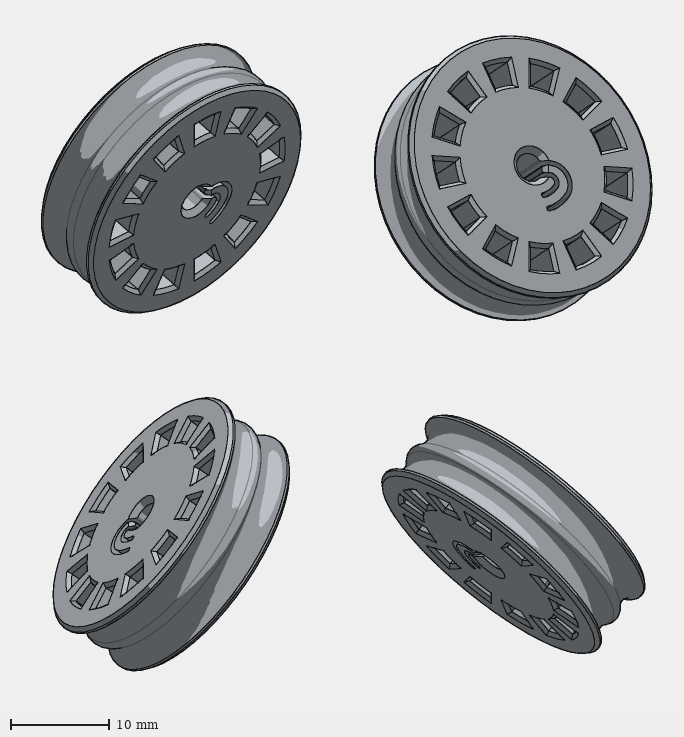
import cadquery as cq
import math

OUTER_RADIUS = 14.05
WIDTH = 8.3
HALF_WIDTH = WIDTH / 2

GROOVE_RADIUS = 1.8
GROOVE_OFFSET = 1.8
GROOVE_FLOOR_RADIUS = 12.87
CREST_RADIUS = 0.81

WINDOW_COUNT = 13
WINDOW_INNER_RADIUS = 8.77
WINDOW_OUTER_RADIUS = 11.25
WINDOW_HALF_ANGLE = math.pi / (2 * WINDOW_COUNT)

EDGE_CHAMFER = 0.4

BORE_RADIUS = 1.5
BORE_CHAMFER = 0.62

FINGER_WIDTH = 0.8
FINGER_TIP_REACH = 1.38
FINGER_TIP_LENGTH = 0.81
FINGER_TIP_CHAMFER = 0.5
CORNER_ROUNDING = 0.25
SLOT_WIDTH = 0.5
SLOT_OFFSET = (FINGER_WIDTH + SLOT_WIDTH) / 2
SLOT_START = 0.85
SLOT_END_ANGLE = math.radians(-66)
OUTER_SLOT_RADIUS = 4.75
OUTER_SLOT_BEND = 2.05
INNER_SLOT_RADIUS = 3.25
INNER_SLOT_BEND = 0.75


def polar(radius, angle, center=(0, 0)):
    return (center[0] + radius * math.cos(angle), center[1] + radius * math.sin(angle))


def extrude_through(wire):
    """Extrude a closed YZ outline symmetrically over the full width."""
    return wire.extrude(HALF_WIDTH, both=True)


def make_blank():
    """Revolve the tread profile about X."""
    groove_center_r = GROOVE_FLOOR_RADIUS + GROOVE_RADIUS
    rim_x = GROOVE_OFFSET + math.sqrt(GROOVE_RADIUS**2 - (groove_center_r - OUTER_RADIUS) ** 2)

    center_distance = GROOVE_RADIUS + CREST_RADIUS
    crest_center_r = groove_center_r - math.sqrt(center_distance**2 - GROOVE_OFFSET**2)
    crest_x = GROOVE_OFFSET * CREST_RADIUS / center_distance
    crest_r = crest_center_r + math.sqrt(CREST_RADIUS**2 - crest_x**2)

    profile = (
        cq.Workplane("XY")
        .moveTo(-HALF_WIDTH, 0)
        .lineTo(-HALF_WIDTH, OUTER_RADIUS)
        .lineTo(-rim_x, OUTER_RADIUS)
        .threePointArc((-GROOVE_OFFSET, GROOVE_FLOOR_RADIUS), (-crest_x, crest_r))
        .threePointArc((0, crest_center_r + CREST_RADIUS), (crest_x, crest_r))
        .threePointArc((GROOVE_OFFSET, GROOVE_FLOOR_RADIUS), (rim_x, OUTER_RADIUS))
        .lineTo(HALF_WIDTH, OUTER_RADIUS)
        .lineTo(HALF_WIDTH, 0)
        .close()
    )
    return profile.revolve(360, (0, 0, 0), (1, 0, 0))


def make_window(angle):
    """One ring-sector window centred on the given angle from +Y."""
    start = angle - WINDOW_HALF_ANGLE
    end = angle + WINDOW_HALF_ANGLE
    outline = (
        cq.Workplane("YZ")
        .moveTo(*polar(WINDOW_INNER_RADIUS, start))
        .lineTo(*polar(WINDOW_OUTER_RADIUS, start))
        .threePointArc(polar(WINDOW_OUTER_RADIUS, angle), polar(WINDOW_OUTER_RADIUS, end))
        .lineTo(*polar(WINDOW_INNER_RADIUS, end))
        .threePointArc(polar(WINDOW_INNER_RADIUS, angle), polar(WINDOW_INNER_RADIUS, start))
        .close()
    )
    return extrude_through(outline)


def make_bore():
    bore = cq.Workplane("YZ").circle(BORE_RADIUS)
    return extrude_through(bore)


def make_bore_mouths():
    """Conical chamfers at both ends of the bore."""
    mouth = cq.Workplane("YZ", origin=(HALF_WIDTH - BORE_CHAMFER, 0, 0)).circle(BORE_RADIUS)
    mouth = mouth.workplane(offset=BORE_CHAMFER).circle(BORE_RADIUS + BORE_CHAMFER).loft()
    return mouth.union(mouth.mirror("YZ"))


def make_slot(offset, bend_radius, arc_radius):
    """Slot running out along +Y at height offset, bending down into an arc about the wheel axis."""
    bend_center_z = offset - bend_radius
    bend_center_y = math.sqrt((arc_radius - bend_radius) ** 2 - bend_center_z**2)
    bend_center = (bend_center_y, bend_center_z)
    bend_end_angle = math.atan2(bend_center_z, bend_center_y)
    bend_middle_angle = (math.pi / 2 + bend_end_angle) / 2
    arc_middle_angle = (bend_end_angle + SLOT_END_ANGLE) / 2
    half = SLOT_WIDTH / 2

    def side(shift):
        """Bend middle, bend end, arc middle and arc end of one slot wall."""
        return (
            polar(bend_radius + shift, bend_middle_angle, bend_center),
            polar(arc_radius + shift, bend_end_angle),
            polar(arc_radius + shift, arc_middle_angle),
            polar(arc_radius + shift, SLOT_END_ANGLE),
        )

    far_bend, far_joint, far_arc, far_end = side(half)
    near_bend, near_joint, near_arc, near_end = side(-half)
    end_center = polar(arc_radius, SLOT_END_ANGLE)
    end_tip = polar(half, SLOT_END_ANGLE - math.pi / 2, end_center)

    outline = (
        cq.Workplane("YZ")
        .moveTo(SLOT_START, offset + half)
        .lineTo(bend_center_y, offset + half)
        .threePointArc(far_bend, far_joint)
        .threePointArc(far_arc, far_end)
        .threePointArc(end_tip, near_end)
        .threePointArc(near_arc, near_joint)
        .threePointArc(near_bend, (bend_center_y, offset - half))
        .lineTo(SLOT_START, offset - half)
        .close()
    )
    return extrude_through(outline)


def make_finger_tip():
    """End of the spring finger, past the bore mouth: chamfered toward both end faces, with rounded corners."""
    tip = cq.Workplane("XY").box(WIDTH, FINGER_TIP_LENGTH, FINGER_WIDTH)
    tip = tip.edges("|Z and <Y").chamfer(FINGER_TIP_CHAMFER)
    tip = tip.faces("<Y").edges("|X").fillet(CORNER_ROUNDING)
    return tip.translate((0, FINGER_TIP_REACH + FINGER_TIP_LENGTH / 2, 0))


def make_finger_opening():
    """Bore and both slots, leaving the finger tip standing."""
    opening = (
        make_bore()
        .union(make_slot(SLOT_OFFSET, OUTER_SLOT_BEND, OUTER_SLOT_RADIUS))
        .union(make_slot(-SLOT_OFFSET, INNER_SLOT_BEND, INNER_SLOT_RADIUS))
    )

    corner_z = SLOT_OFFSET + SLOT_WIDTH / 2
    corner_y = math.sqrt(BORE_RADIUS**2 - corner_z**2)
    for z in (corner_z, -corner_z):
        corner = cq.NearestToPointSelector((0, corner_y, z))
        opening = opening.edges("|X").edges(corner).fillet(CORNER_ROUNDING)

    return opening.union(make_bore_mouths()).cut(make_finger_tip())


body = make_blank()
for index in range(WINDOW_COUNT):
    body = body.cut(make_window(2 * math.pi * index / WINDOW_COUNT))
body = body.faces("<X or >X").edges().chamfer(EDGE_CHAMFER)

result = body.cut(make_finger_opening())